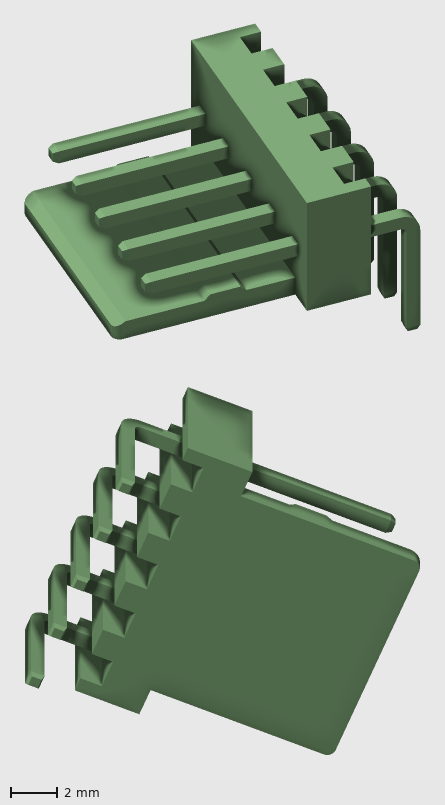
import cadquery as cq


OVERALL_LENGTH = 14.22

HOUSING_WIDTH = 12.7
PIN_COUNT = 5
PITCH = HOUSING_WIDTH / PIN_COUNT
ROW_SPAN = (PIN_COUNT - 1) * PITCH
HOUSING_DEPTH = 3.01
HOUSING_HEIGHT = 5.83
NOTCH_WIDTH = PITCH / 2
NOTCH_DEPTH = 1.0

PLATE_WIDTH = ROW_SPAN
PLATE_LENGTH = 8.49
PLATE_THICKNESS = 0.92
PLATE_CORNER_RADIUS = 0.4
LEAD_IN_LENGTH = 0.51
LEAD_IN_DROP = 0.3

RIDGE_START = 2.29
RIDGE_LENGTH = 1.98
RIDGE_HEIGHT = 0.27

PIN_SIZE = 0.64
PIN_AXIS_HEIGHT = 2.63
PIN_REACH = 7.14
PIN_BACK = OVERALL_LENGTH - PLATE_LENGTH
PIN_DROP = 3.37
BEND_INNER_RADIUS = 0.28
BEND_OUTER_RADIUS = BEND_INNER_RADIUS + PIN_SIZE
TIP_LENGTH = 0.25
TIP_INSET = 0.1

PIN_XS = [i * PITCH - ROW_SPAN / 2 for i in range(PIN_COUNT)]


def make_plate():
    """Flat plate with rounded front corners, a sloped front edge and a raised ridge."""
    plate = (
        cq.Workplane("XY")
        .box(PLATE_WIDTH, PLATE_LENGTH, PLATE_THICKNESS, centered=(True, False, False))
        .translate((0, -PLATE_LENGTH, 0))
        .edges("|Z and <Y")
        .fillet(PLATE_CORNER_RADIUS)
    )
    lead_in = (
        cq.Workplane("YZ")
        .moveTo(-PLATE_LENGTH, PLATE_THICKNESS - LEAD_IN_DROP)
        .lineTo(-PLATE_LENGTH + LEAD_IN_LENGTH, PLATE_THICKNESS)
        .lineTo(-PLATE_LENGTH, PLATE_THICKNESS)
        .close()
        .extrude(PLATE_WIDTH / 2, both=True)
    )
    near_foot = -RIDGE_START
    far_foot = near_foot - RIDGE_LENGTH
    ridge_top = PLATE_THICKNESS + RIDGE_HEIGHT
    ridge = (
        cq.Workplane("YZ")
        .moveTo(near_foot, PLATE_THICKNESS)
        .lineTo(near_foot - RIDGE_HEIGHT, ridge_top)
        .lineTo(far_foot + RIDGE_HEIGHT, ridge_top)
        .lineTo(far_foot, PLATE_THICKNESS)
        .close()
        .extrude(PLATE_WIDTH / 2, both=True)
    )
    return plate.cut(lead_in).union(ridge)


def make_pin(x):
    """Square pin bent down through a right angle, tapered at both ends."""
    top = PIN_AXIS_HEIGHT + PIN_SIZE / 2
    leg_axis = PIN_BACK - PIN_SIZE / 2
    front_shoulder = -PIN_REACH + TIP_LENGTH
    lower_shoulder = -PIN_DROP + TIP_LENGTH
    bend_y = PIN_BACK - BEND_OUTER_RADIUS
    bend_z = top - BEND_OUTER_RADIUS

    path = (
        cq.Workplane("YZ", origin=(x, 0, 0))
        .moveTo(front_shoulder, PIN_AXIS_HEIGHT)
        .lineTo(bend_y, PIN_AXIS_HEIGHT)
        .tangentArcPoint((leg_axis, bend_z), relative=False)
        .lineTo(leg_axis, lower_shoulder)
    )
    shank = (
        cq.Workplane("XZ", origin=(x, front_shoulder, PIN_AXIS_HEIGHT))
        .rect(PIN_SIZE, PIN_SIZE)
        .sweep(path)
    )
    front_tip = make_tip(centre=(x, front_shoulder, PIN_AXIS_HEIGHT), direction=(0, -1, 0))
    lower_tip = make_tip(centre=(x, leg_axis, lower_shoulder), direction=(0, 0, -1))
    return shank.union(front_tip).union(lower_tip)


def make_tip(centre, direction):
    """Truncated pyramid that grows from its base centre in the given direction."""
    base_plane = cq.Plane(origin=centre, xDir=(1, 0, 0), normal=direction)
    end_size = PIN_SIZE - 2 * TIP_INSET
    return (
        cq.Workplane(base_plane)
        .rect(PIN_SIZE, PIN_SIZE)
        .workplane(offset=TIP_LENGTH)
        .rect(end_size, end_size)
        .loft()
    )


def make_housing(pin_bodies):
    """Notched block joined to the locking plate, with a matching hole for each pin."""
    housing = cq.Workplane("XY").box(
        HOUSING_WIDTH, HOUSING_DEPTH, HOUSING_HEIGHT, centered=(True, False, False)
    )
    notches = (
        cq.Workplane("XY")
        .pushPoints([(x, HOUSING_DEPTH - NOTCH_DEPTH / 2) for x in PIN_XS])
        .rect(NOTCH_WIDTH, NOTCH_DEPTH)
        .extrude(HOUSING_HEIGHT)
    )
    housing = housing.cut(notches).union(make_plate())
    for pin in pin_bodies:
        housing = housing.cut(pin)
    return housing


pins = [make_pin(x) for x in PIN_XS]
housing = make_housing(pins)

result = cq.Compound.makeCompound([housing.solids().val(), *[pin.solids().val() for pin in pins]])